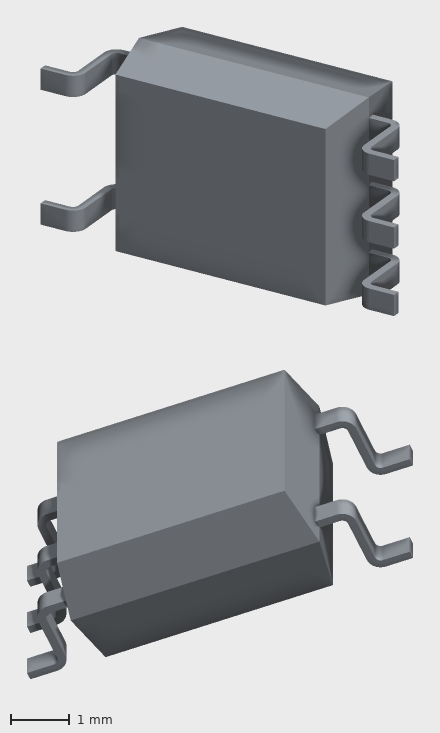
import cadquery as cq
import math


housing_width = 4.55
housing_length = 3.7
half_depth = 1.1
draft_angle = 10.0

lead_span = 7.0
lead_width = 0.4
lead_thickness = 0.15
inner_bend_radius = 0.105
outer_bend_radius = inner_bend_radius + lead_thickness
lead_pitch = 1.27
foot_reach = 0.74
foot_bottom = -1.205

left_lead_positions = [-lead_pitch, lead_pitch]
right_lead_positions = [-lead_pitch, 0, lead_pitch]


def make_housing_half(side):
    """Half of the housing, tapering from the parting plane; side is +1 for +Y or -1 for -Y."""
    inset = half_depth * math.tan(math.radians(draft_angle))
    return (
        cq.Workplane("XZ")
        .rect(housing_width, housing_length)
        .workplane(offset=-side * half_depth)
        .rect(housing_width - 2 * inset, housing_length - 2 * inset)
        .loft(ruled=True)
    )


def make_left_lead(z_center):
    """Z-bent strip from a foot tip at -X to the sloped side of the +Y housing half."""
    tip_x = -lead_span / 2
    leg_inboard_x = tip_x + foot_reach
    leg_outboard_x = leg_inboard_x - lead_thickness
    foot_top = foot_bottom + lead_thickness
    shoulder_bottom = 0
    shoulder_top = lead_thickness
    root_bottom_x = -housing_width / 2
    root_top_x = root_bottom_x + lead_thickness * math.tan(math.radians(draft_angle))

    foot_bend_x = leg_outboard_x - inner_bend_radius
    foot_bend_y = foot_top + inner_bend_radius
    shoulder_bend_x = leg_inboard_x + inner_bend_radius
    shoulder_bend_y = shoulder_bottom - inner_bend_radius

    inner_diagonal = inner_bend_radius * math.sqrt(0.5)
    outer_diagonal = outer_bend_radius * math.sqrt(0.5)

    return (
        cq.Workplane("XY", origin=(0, 0, z_center - lead_width / 2))
        .moveTo(tip_x, foot_bottom)
        .lineTo(foot_bend_x, foot_bottom)
        .threePointArc(
            (foot_bend_x + outer_diagonal, foot_bend_y - outer_diagonal),
            (leg_inboard_x, foot_bend_y),
        )
        .lineTo(leg_inboard_x, shoulder_bend_y)
        .threePointArc(
            (shoulder_bend_x - inner_diagonal, shoulder_bend_y + inner_diagonal),
            (shoulder_bend_x, shoulder_bottom),
        )
        .lineTo(root_bottom_x, shoulder_bottom)
        .lineTo(root_top_x, shoulder_top)
        .lineTo(shoulder_bend_x, shoulder_top)
        .threePointArc(
            (shoulder_bend_x - outer_diagonal, shoulder_bend_y + outer_diagonal),
            (leg_outboard_x, shoulder_bend_y),
        )
        .lineTo(leg_outboard_x, foot_bend_y)
        .threePointArc(
            (foot_bend_x + inner_diagonal, foot_bend_y - inner_diagonal),
            (foot_bend_x, foot_top),
        )
        .lineTo(tip_x, foot_top)
        .close()
        .extrude(lead_width)
    )


def make_right_lead(z_center):
    """Mirror image of a left lead, on the +X side."""
    return make_left_lead(z_center).mirror("YZ")


rear_housing = make_housing_half(+1)
front_housing = make_housing_half(-1)
left_leads = [make_left_lead(z) for z in left_lead_positions]
right_leads = [make_right_lead(z) for z in right_lead_positions]

result = cq.Compound.makeCompound([
    rear_housing.val(),
    front_housing.val(),
    *[lead.val() for lead in left_leads + right_leads],
])